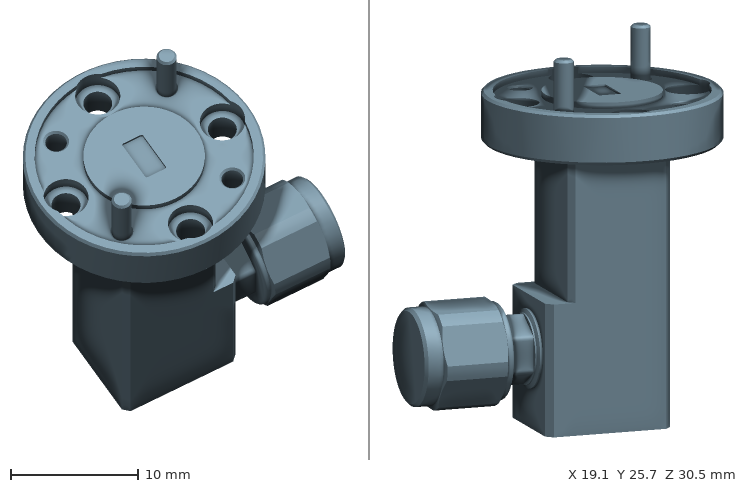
import cadquery as cq
import math


flange_radius = 19.05 / 2
flange_thickness = 4.06
flange_top_chamfer = 0.2
flange_bottom_chamfer = 0.27
recess_radius = 8.6
recess_depth = 0.5
boss_radius = 4.77
bolt_circle_radius = 14.27 / 2
screw_hole_diameter = 2.27
screw_counterbore_diameter = 3.55
screw_counterbore_depth = 1.5
alignment_hole_diameter = 1.7
alignment_hole_chamfer = 0.17
waveguide_width = 3.76
waveguide_height = 1.88
waveguide_depth = 0.2
waveguide_corner_radius = 0.15

pin_diameter = 1.58
pin_projection = 3.87
pin_end_chamfer = 0.18
pin_countersink = 0.12

block_side = 8.57
block_length = 22.57
block_edge_chamfer = 0.5
foot_height = 10.67
foot_back_y = 6.13
foot_edge_chamfer = 0.55
block_bottom_z = -flange_thickness - block_length

connector_z = -20.3
collar_base_radius = 6.35 / 2
collar_base_length = 0.2
collar_cone_length = 0.18
collar_front_radius = 2.87
collar_length = 0.5
neck_across_flats = 5.0
neck_corner_fillet = 0.45
neck_turn = 90

nut_back_y = 8.71
nut_hex_start_y = 9.22
nut_hex_end_y = 14.67
nut_front_y = 16.165
nut_ring_radius = 3.93
nut_across_flats = 8.0
nut_corner_radius = 4.31
nut_turn = 7.8
nut_hex_chamfer_length = 0.2
nut_front_chamfer = 0.25
nut_back_fillet = 0.25
nut_bore_radius = 3.03


def bolt_circle_point(angle):
    """A point on the bolt circle, at an angle in degrees from +X."""
    turn = math.radians(angle)
    return (bolt_circle_radius * math.cos(turn), bolt_circle_radius * math.sin(turn))


screw_points = [bolt_circle_point(angle) for angle in (0, 90, 180, 270)]
alignment_hole_points = [bolt_circle_point(angle) for angle in (45, 225)]
pin_points = [bolt_circle_point(angle) for angle in (135, 315)]


def vertical_cylinders(points, diameter, bottom_z, top_z):
    return (
        cq.Workplane("XY", origin=(0, 0, bottom_z))
        .pushPoints(points)
        .circle(diameter / 2)
        .extrude(top_z - bottom_z)
    )


def countersinks(points, diameter, chamfer):
    """45 degree cones that break the mouths of holes in the recess floor."""
    cones = cq.Workplane("XY")
    for x, y in points:
        tip = cq.Vector(x, y, -recess_depth - chamfer)
        cone = cq.Solid.makeCone(diameter / 2, diameter / 2 + chamfer, chamfer, pnt=tip)
        cones = cones.add(cone)
    return cones.combine()


def connector_plane(y):
    """A plane across the connector axis, facing +Y."""
    return cq.Plane(origin=(0, y, connector_z), xDir=(1, 0, 0), normal=(0, 1, 0))


def y_cylinder(radius, start_y, end_y):
    """A cylinder on the connector axis."""
    return cq.Workplane(connector_plane(start_y)).circle(radius).extrude(end_y - start_y)


def y_hexagon(across_flats, turn, start_y, end_y):
    """A hexagon prism on the connector axis, a corner turned by an angle from +X towards +Z."""
    across_corners = across_flats / math.cos(math.pi / 6)
    hexagon = cq.Workplane(connector_plane(start_y)).polygon(6, across_corners).extrude(end_y - start_y)
    return hexagon.rotate((0, 0, connector_z), (0, 1, connector_z), -turn)


def make_flange():
    flange = cq.Workplane("XY").circle(flange_radius).extrude(-flange_thickness)
    flange = flange.faces(">Z").chamfer(flange_top_chamfer)
    flange = flange.faces("<Z").chamfer(flange_bottom_chamfer)
    recess = cq.Workplane("XY").circle(recess_radius).circle(boss_radius).extrude(-recess_depth)
    return flange.cut(recess)


def make_block():
    block = (
        cq.Workplane("XY", origin=(0, 0, block_bottom_z))
        .rect(block_side, block_side)
        .extrude(block_length)
        .edges("|Z")
        .chamfer(block_edge_chamfer)
    )
    foot_front_y = -block_side / 2
    foot_depth = foot_back_y - foot_front_y
    foot = (
        cq.Workplane("XY", origin=(0, foot_front_y + foot_depth / 2, block_bottom_z))
        .rect(block_side, foot_depth)
        .extrude(foot_height)
    )
    foot = foot.edges("|Z and <Y").chamfer(block_edge_chamfer)
    foot = foot.edges("|Z and >Y").chamfer(foot_edge_chamfer)
    return block.union(foot)


def make_pins():
    """Pins that are part of the housing, rooted halfway down the flange."""
    pins = vertical_cylinders(pin_points, pin_diameter, -flange_thickness / 2, pin_projection)
    return pins.faces(">Z").chamfer(pin_end_chamfer)


def make_housing():
    housing = make_flange().union(make_block())
    screw_floor_z = -screw_counterbore_depth
    housing = housing.cut(vertical_cylinders(screw_points, screw_hole_diameter, -flange_thickness, 0))
    housing = housing.cut(vertical_cylinders(screw_points, screw_counterbore_diameter, screw_floor_z, 0))
    housing = housing.cut(
        vertical_cylinders(alignment_hole_points, alignment_hole_diameter, -flange_thickness, 0)
    )
    housing = housing.cut(
        countersinks(alignment_hole_points, alignment_hole_diameter, alignment_hole_chamfer)
    )
    housing = housing.cut(countersinks(pin_points, pin_diameter, pin_countersink))
    housing = housing.union(make_pins())
    waveguide = (
        cq.Workplane("XY")
        .rect(waveguide_width, waveguide_height)
        .extrude(-waveguide_depth)
        .edges("|Z")
        .fillet(waveguide_corner_radius)
    )
    return housing.cut(waveguide)


def make_connector():
    """Stepped collar against the foot, hexagon neck, and shank through the coupling nut."""
    collar_outline = [
        (0, 0),
        (collar_base_radius, 0),
        (collar_base_radius, collar_base_length),
        (collar_front_radius, collar_base_length + collar_cone_length),
        (collar_front_radius, collar_length),
        (0, collar_length),
    ]
    collar = (
        cq.Workplane("XY", origin=(0, foot_back_y, connector_z))
        .polyline(collar_outline)
        .close()
        .revolve(360, (0, 0, 0), (0, 1, 0))
    )
    neck = y_hexagon(neck_across_flats, neck_turn, foot_back_y, nut_back_y)
    neck = neck.edges("|Y").fillet(neck_corner_fillet)
    shank = y_cylinder(nut_bore_radius, nut_back_y, nut_front_y)
    return collar.union(neck).union(shank)


def make_nut():
    nut = y_cylinder(nut_ring_radius, nut_back_y, nut_front_y)
    nut = nut.faces(">Y").chamfer(nut_front_chamfer)
    nut = nut.faces("<Y").edges().fillet(nut_back_fillet)
    hexagon = y_hexagon(nut_across_flats, nut_turn, nut_hex_start_y, nut_hex_end_y)
    trim = y_cylinder(nut_corner_radius, nut_hex_start_y, nut_hex_end_y)
    trim = trim.faces("<Y or >Y").chamfer(nut_hex_chamfer_length, nut_corner_radius - nut_ring_radius)
    nut = nut.union(hexagon.intersect(trim))
    return nut.cut(y_cylinder(nut_bore_radius, nut_back_y, nut_front_y))


housing = make_housing()
connector = make_connector()
nut = make_nut()

result = cq.Compound.makeCompound([housing.val(), connector.val(), nut.val()])